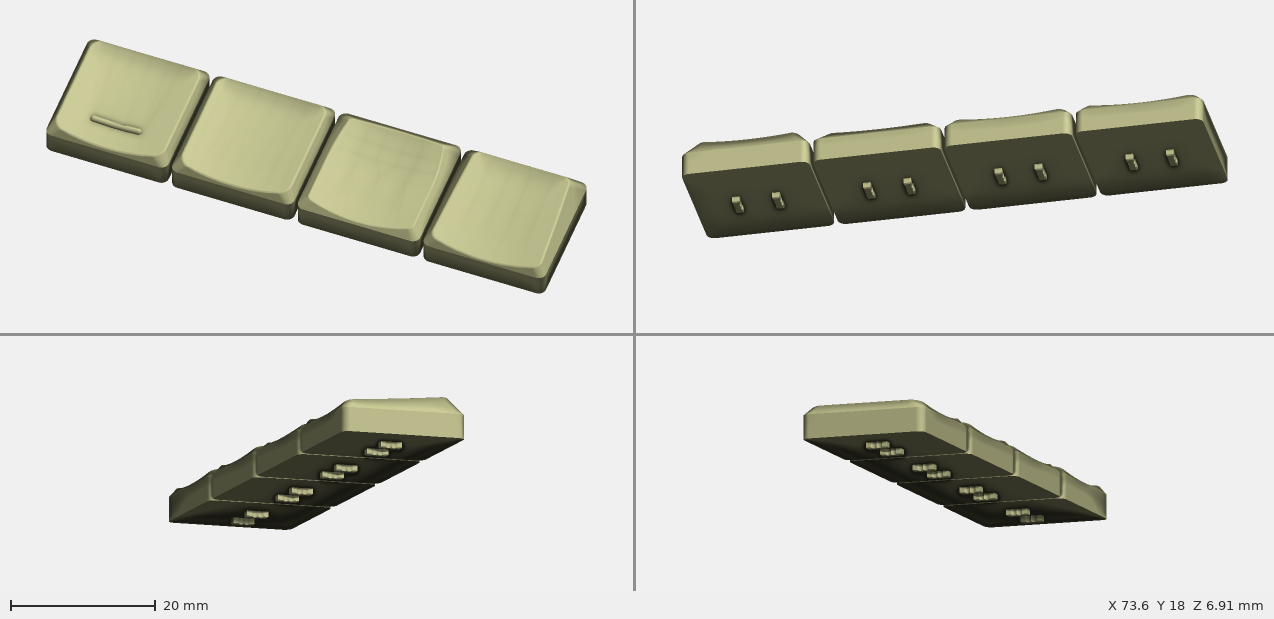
import cadquery as cq
import math

cap_size = 18.0
row_length = 73.64
cap_count = 4
cap_pitch = (row_length - cap_size) / (cap_count - 1)

skirt_height = 3.4
skirt_corner_radius = 1.1

crown_height = 3.0
crown_inset_per_mm = 0.7
steep_crown_inset_per_mm = 1.06
wide_top_corner = 2.6
even_top_corner = 1.3
tight_top_corner = 0.1

rim_fillet = 0.33
steep_rim_fillet = 0.25

leg_spacing = 5.7
leg_width = 1.05
leg_length = 3.1
leg_drop = 0.91
leg_tip_chamfer = 0.15
groove_width = 0.8
groove_depth = 0.15

bar_length = 6.6
bar_radius = 0.5
bar_y = -4.6

dish_radius = 34.0
dish_tool_height = 6.0
dish_floor = 3.8

slope_floor = 4.515
slope_angle = math.degrees(math.atan(0.11))
slope_bend_radius = 300.0

curl_radius = 26.5
curl_floor = 3.7
curl_sweep = 30.0


def rounded_square(size, corner_radius):
    return cq.Sketch().rect(size, size).vertices().fillet(corner_radius)


def blank(inset_per_mm, top_corner_radius):
    """Rounded-square skirt with a tapered crown on top."""
    top_size = cap_size - 2 * inset_per_mm * crown_height
    base_outline = rounded_square(cap_size, skirt_corner_radius)
    top_outline = rounded_square(top_size, top_corner_radius)
    skirt = cq.Workplane("XY").placeSketch(base_outline).extrude(skirt_height)
    crown = (
        cq.Workplane("XY", origin=(0, 0, skirt_height))
        .placeSketch(base_outline, top_outline.moved(cq.Location(cq.Vector(0, 0, crown_height))))
        .loft()
    )
    return skirt.union(crown)


def dish_profile(floor):
    """Circle segment across the cap at y = 0 whose underside is the dish."""
    half_width = math.sqrt(dish_radius**2 - (dish_radius - dish_tool_height) ** 2)
    top = floor + dish_tool_height
    return (
        cq.Workplane("XZ")
        .moveTo(-half_width, top)
        .threePointArc((0, floor), (half_width, top))
        .close()
    )


def bent_dish(floor, bend_radius, angle):
    """Dish that curls up from y = 0 toward the back along an arc."""
    axis_height = floor + bend_radius
    return dish_profile(floor).revolve(angle, (-1, axis_height, 0), (1, axis_height, 0))


def level_dish():
    return dish_profile(dish_floor).extrude(cap_size, both=True)


def curled_dish():
    front = dish_profile(curl_floor).extrude(cap_size)
    back = bent_dish(curl_floor, curl_radius, curl_sweep)
    return front.union(back)


def sloped_dish():
    """Slightly bent trough that rises toward the back."""
    sweep = math.degrees(cap_size / slope_bend_radius)
    axis_height = slope_floor + slope_bend_radius
    trough = bent_dish(slope_floor, slope_bend_radius, 2 * sweep)
    trough = trough.rotate((0, 0, axis_height), (1, 0, axis_height), -sweep)
    return trough.rotate((0, 0, slope_floor), (1, 0, slope_floor), slope_angle)


def crown_region(half_x, half_y):
    """Selector for what is centred near the middle of the crown."""
    return cq.selectors.BoxSelector(
        (-half_x, -half_y, skirt_height),
        (half_x, half_y, skirt_height + crown_height),
    )


def soften_rim(cap, radius):
    """Round the outer border of the dish, leaving any seam across it sharp."""
    whole_crown = crown_region(cap_size / 2, cap_size / 2)
    dish_faces = cap.faces(crown_region(cap_size / 3, cap_size / 3))
    seam = crown_region(cap_size / 6, cap_size / 6)
    return dish_faces.edges(whole_crown - seam).fillet(radius)


def leg_groove(side, y_start, y_end):
    """Shallow round groove running down one side face of a leg."""
    face_x = side * leg_width / 2
    floor_x = face_x - side * groove_depth
    return (
        cq.Workplane("XY")
        .moveTo(face_x, y_start)
        .threePointArc((floor_x, (y_start + y_end) / 2), (face_x, y_end))
        .close()
        .extrude(-leg_drop)
    )


def stem_leg():
    leg = cq.Workplane("XY").rect(leg_width, leg_length).extrude(-leg_drop)
    leg = leg.faces("<Z").chamfer(leg_tip_chamfer)
    for side in (-1, 1):
        leg = leg.cut(leg_groove(side, -groove_width, 0))
        leg = leg.cut(leg_groove(side, 0, groove_width))
    return leg


def keycap(inset_per_mm, top_corner_radius, dish, fillet):
    """Dished cap with rounded rim and both stem legs, centred on X and Y."""
    cap = soften_rim(blank(inset_per_mm, top_corner_radius).cut(dish), fillet)
    for side in (-1, 1):
        cap = cap.union(stem_leg().translate((side * leg_spacing / 2, 0, 0)))
    return cap


def homing_bar():
    """Round-ended rod bent to the dish curve, its axis lying in the dish surface."""
    half_length = bar_length / 2
    centre_height = dish_floor + dish_radius
    end_height = centre_height - math.sqrt(dish_radius**2 - half_length**2)
    sweep = 2 * math.degrees(math.asin(half_length / dish_radius))
    rod = (
        cq.Workplane("YZ", origin=(0, bar_y, dish_floor))
        .circle(bar_radius)
        .revolve(sweep, (-1, dish_radius, 0), (1, dish_radius, 0))
    )
    rod = rod.rotate((0, 0, centre_height), (0, 1, centre_height), -sweep / 2)
    for side in (-1, 1):
        ball = cq.Workplane("XY").sphere(bar_radius)
        rod = rod.union(ball.translate((side * half_length, bar_y, end_height)))
    return rod


def in_row(cap, index):
    """Move a centred cap to its place in the row, counted from the left."""
    return cap.translate((cap_size / 2 + index * cap_pitch, 0, 0))


plain_cap = keycap(crown_inset_per_mm, wide_top_corner, level_dish(), rim_fillet)

homing_cap = in_row(plain_cap.union(homing_bar()), 0)

level_cap = in_row(plain_cap, 1)

curled_cap = in_row(
    keycap(steep_crown_inset_per_mm, tight_top_corner, curled_dish(), steep_rim_fillet), 2
)

tall_cap = in_row(keycap(crown_inset_per_mm, even_top_corner, sloped_dish(), rim_fillet), 3)

result = cq.Compound.makeCompound(
    [homing_cap.val(), level_cap.val(), curled_cap.val(), tall_cap.val()]
)